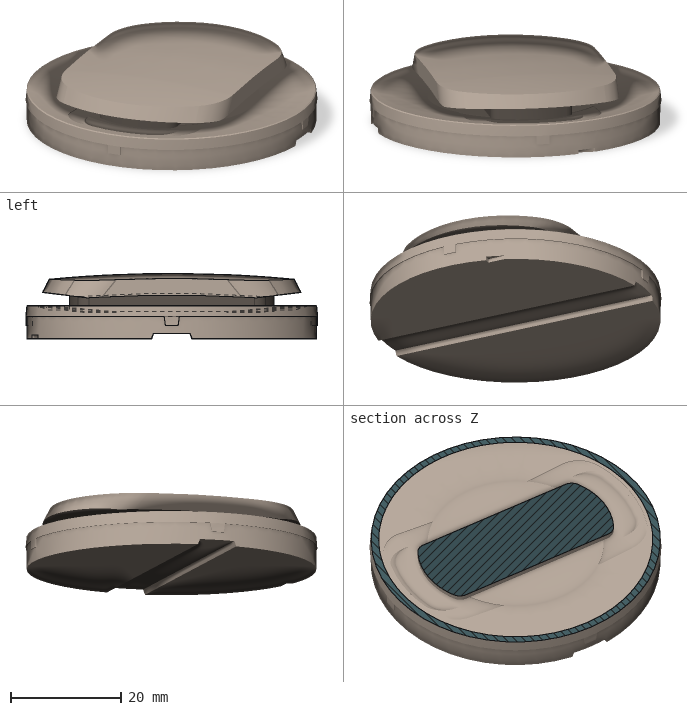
import cadquery as cq
import math

TOTAL_HEIGHT = 11.87
BEZEL_RADIUS = 52.99 / 2

BASE_RADIUS = 26.3
BASE_HEIGHT = 4.0
CHANNEL_HEIGHT = 0.95
CHANNEL_MOUTH_WIDTH = 7.3
CHANNEL_ROOF_WIDTH = 6.6
PRY_NOTCH_X = (-11.0, -6.8)
PRY_NOTCH_Y = 24.3
PRY_NOTCH_HEIGHT = 0.7

CLIP_HEIGHT = 1.6
CLIP_DEPTH = 1.2
END_CLIP_WIDTH = 2.4
SIDE_CLIP_TOP_WIDTH = 2.75
SIDE_CLIP_TIP_WIDTH = 2.3

RIM_Z = 6.08
RIM_BEVEL_HEIGHT = 0.15
RIM_BEVEL_RADIUS = 26.3
RIM_INNER_RADIUS = 26.1
DISH_BREAK_RADIUS = 22.5
DISH_BREAK_Z = 5.68
DISH_FLOOR_RADIUS = 16.0
DISH_FLOOR_Z = 4.91

RECESS_END_RADIUS = 24.2
RECESS_HALF_WIDTH = 12.5
RECESS_CORNER_X = 8.8
RECESS_DROP = 0.12
WELL_HALF_WIDTH = 9.0
WELL_CORNER_X = 5.9
WELL_MOUTH_RADIUS = 23.5
WELL_MOUTH_Z = 5.67
WELL_FLOOR_RADIUS = 22.5
WELL_FLOOR_Z = 5.2

KNOB_HALF_WIDTH = 16.5
KNOB_CORNER_X = 13.0
KNOB_ARC_CENTRE_Y = 1.8
KNOB_LOWER_EDGE_Z = 8.4
KNOB_LOWER_REACH = 23.45
KNOB_UPPER_EDGE_Z = 10.8
KNOB_UPPER_REACH = 22.25
CROWN_RADIUS_LENGTHWISE = 232.0
CROWN_RADIUS_CROSSWISE = 147.0
BELLY_RADIUS_CROSSWISE = 340.0
PLATE_THICKNESS = 3.55
RAMP_START_Y = 15.2
RAMP_START_Z = 7.4

STEM_REACH = 18.56
STEM_ARC_CENTRE_Y = 5.0
STEM_HALF_WIDTH = 7.5
STEM_CORNER_X = 6.3
STEM_TOP_Z = 8.6

CLEARANCE = 30.0
OVERSHOOT = 1.0
SHELL_SWEEP_ANGLE = 20


def rounded_outline(plane, half_width, reach, corner_x, arc_centre_y=0):
    """Straight sides, a large arc across each end, and corner arcs tangent to both.

    The ends reach out to +-reach on Y, and each end arc meets its corner arcs at x = +-corner_x.
    """
    end_radius = reach - arc_centre_y
    rise = math.sqrt(end_radius**2 - corner_x**2)
    end_y = arc_centre_y + rise
    corner_radius = (half_width - corner_x) / (1 - corner_x / end_radius)
    corner_centre_x = half_width - corner_radius
    side_y = end_y - rise * corner_radius / end_radius
    mid_angle = math.atan2(rise, corner_x) / 2
    mid_x = corner_centre_x + corner_radius * math.cos(mid_angle)
    mid_y = side_y + corner_radius * math.sin(mid_angle)
    return (
        plane.moveTo(half_width, -side_y)
        .lineTo(half_width, side_y)
        .threePointArc((mid_x, mid_y), (corner_x, end_y))
        .threePointArc((0, reach), (-corner_x, end_y))
        .threePointArc((-mid_x, mid_y), (-half_width, side_y))
        .lineTo(-half_width, -side_y)
        .threePointArc((-mid_x, -mid_y), (-corner_x, -end_y))
        .threePointArc((0, -reach), (corner_x, -end_y))
        .threePointArc((mid_x, -mid_y), (half_width, -side_y))
        .close()
    )


def clip(top_width, tip_width):
    """One clip on the +X side, with its outer face on the bezel's outer radius."""
    tip_z = BASE_HEIGHT - CLIP_HEIGHT
    wedge = (
        cq.Workplane("YZ")
        .polyline([
            (-top_width / 2, BASE_HEIGHT),
            (top_width / 2, BASE_HEIGHT),
            (tip_width / 2, tip_z),
            (-tip_width / 2, tip_z),
        ])
        .close()
        .extrude(CLEARANCE)
    )
    ring = (
        cq.Workplane("XY")
        .workplane(offset=tip_z)
        .circle(BEZEL_RADIUS)
        .circle(BEZEL_RADIUS - CLIP_DEPTH)
        .extrude(CLIP_HEIGHT)
    )
    return wedge.intersect(ring)


def all_clips():
    side_clip = clip(SIDE_CLIP_TOP_WIDTH, SIDE_CLIP_TIP_WIDTH)
    end_clip = clip(END_CLIP_WIDTH, END_CLIP_WIDTH)
    placed = []
    for quarter in range(4):
        shape = side_clip if quarter % 2 == 0 else end_clip
        placed.append(shape.rotate((0, 0, 0), (0, 0, 1), 90 * quarter))
    return placed


def make_base(clips):
    base = cq.Workplane("XY").circle(BASE_RADIUS).extrude(BASE_HEIGHT)

    channel = (
        cq.Workplane("YZ")
        .polyline([
            (-CHANNEL_MOUTH_WIDTH / 2, 0),
            (CHANNEL_MOUTH_WIDTH / 2, 0),
            (CHANNEL_ROOF_WIDTH / 2, CHANNEL_HEIGHT),
            (-CHANNEL_ROOF_WIDTH / 2, CHANNEL_HEIGHT),
        ])
        .close()
        .extrude(CLEARANCE, both=True)
    )
    base = base.cut(channel)

    notch_start, notch_end = PRY_NOTCH_X
    pry_notch = cq.Workplane("XY").box(
        notch_end - notch_start, CLEARANCE, PRY_NOTCH_HEIGHT, centered=False
    ).translate((notch_start, PRY_NOTCH_Y, 0))
    base = base.cut(pry_notch)

    for one_clip in clips:
        base = base.cut(one_clip)
    return base


def dish_space(drop):
    """Open space above the dish surface, lowered by the given drop."""
    return (
        cq.Workplane("XZ")
        .polyline([
            (0, DISH_FLOOR_Z - drop),
            (DISH_FLOOR_RADIUS, DISH_FLOOR_Z - drop),
            (DISH_BREAK_RADIUS, DISH_BREAK_Z - drop),
            (RIM_INNER_RADIUS, RIM_Z - drop),
            (RIM_INNER_RADIUS, TOTAL_HEIGHT),
            (0, TOTAL_HEIGHT),
        ])
        .close()
        .revolve(360, (0, 0), (0, 1))
    )


def finger_well():
    """Deeper middle step of the finger recess, with sloping end walls."""
    floor = rounded_outline(
        cq.Workplane("XY").workplane(offset=WELL_FLOOR_Z), WELL_HALF_WIDTH, WELL_FLOOR_RADIUS, WELL_CORNER_X
    )
    sloped = rounded_outline(
        floor.workplane(offset=WELL_MOUTH_Z - WELL_FLOOR_Z), WELL_HALF_WIDTH, WELL_MOUTH_RADIUS, WELL_CORNER_X
    ).loft(ruled=True)
    opening = rounded_outline(
        cq.Workplane("XY").workplane(offset=WELL_MOUTH_Z), WELL_HALF_WIDTH, WELL_MOUTH_RADIUS, WELL_CORNER_X
    ).extrude(TOTAL_HEIGHT)
    return sloped.union(opening)


def make_bezel(clips):
    bezel = (
        cq.Workplane("XZ")
        .polyline([
            (0, BASE_HEIGHT),
            (BEZEL_RADIUS, BASE_HEIGHT),
            (RIM_BEVEL_RADIUS, RIM_Z - RIM_BEVEL_HEIGHT),
            (RIM_INNER_RADIUS, RIM_Z),
            (0, RIM_Z),
        ])
        .close()
        .revolve(360, (0, 0), (0, 1))
        .cut(dish_space(0))
    )

    recess = rounded_outline(
        cq.Workplane("XY"), RECESS_HALF_WIDTH, RECESS_END_RADIUS, RECESS_CORNER_X
    ).extrude(TOTAL_HEIGHT)
    flat_floor = cq.Workplane("XY").circle(DISH_FLOOR_RADIUS).extrude(TOTAL_HEIGHT)
    bezel = bezel.cut(recess.intersect(dish_space(RECESS_DROP)).cut(flat_floor))

    bezel = bezel.cut(finger_well())

    for one_clip in clips:
        bezel = bezel.union(one_clip)
    return bezel


def knob_blank():
    """Plate outline with upright sides and round ends that lean inward towards the top."""
    lean = (KNOB_LOWER_REACH - KNOB_UPPER_REACH) / (KNOB_UPPER_EDGE_Z - KNOB_LOWER_EDGE_Z)
    bottom_z = RIM_Z
    top_z = TOTAL_HEIGHT + OVERSHOOT
    bottom_reach = KNOB_LOWER_REACH + lean * (KNOB_LOWER_EDGE_Z - bottom_z)
    top_reach = KNOB_UPPER_REACH - lean * (top_z - KNOB_UPPER_EDGE_Z)
    bottom_plane = cq.Workplane("XY").workplane(offset=bottom_z)
    bottom = rounded_outline(bottom_plane, KNOB_HALF_WIDTH, bottom_reach, KNOB_CORNER_X, KNOB_ARC_CENTRE_Y)
    top_plane = bottom.workplane(offset=top_z - bottom_z)
    return rounded_outline(
        top_plane, KNOB_HALF_WIDTH, top_reach, KNOB_CORNER_X, KNOB_ARC_CENTRE_Y
    ).loft(ruled=True)


def crowned_shell():
    """Band between the crowned top and the curved underside, swept about an axis along X."""
    half = KNOB_HALF_WIDTH + OVERSHOOT
    belly_z = TOTAL_HEIGHT - PLATE_THICKNESS
    crown_edge_z = TOTAL_HEIGHT - CROWN_RADIUS_CROSSWISE + math.sqrt(CROWN_RADIUS_CROSSWISE**2 - half**2)
    belly_edge_z = belly_z - BELLY_RADIUS_CROSSWISE + math.sqrt(BELLY_RADIUS_CROSSWISE**2 - half**2)
    axis_z = TOTAL_HEIGHT - CROWN_RADIUS_LENGTHWISE
    return (
        cq.Workplane("XZ")
        .moveTo(-half, belly_edge_z)
        .threePointArc((0, belly_z), (half, belly_edge_z))
        .lineTo(half, crown_edge_z)
        .threePointArc((0, TOTAL_HEIGHT), (-half, crown_edge_z))
        .close()
        .revolve(SHELL_SWEEP_ANGLE, (0, axis_z), (1, axis_z))
        .rotate((0, 0, axis_z), (1, 0, axis_z), -SHELL_SWEEP_ANGLE / 2)
    )


def underside_ramp():
    """Space below the rising underside at the +Y end."""
    slope = (KNOB_LOWER_EDGE_Z - RAMP_START_Z) / (KNOB_LOWER_REACH - RAMP_START_Y)
    return (
        cq.Workplane("YZ")
        .polyline([
            (RAMP_START_Y, RAMP_START_Z),
            (CLEARANCE, RAMP_START_Z + slope * (CLEARANCE - RAMP_START_Y)),
            (CLEARANCE, 0),
            (RAMP_START_Y, 0),
        ])
        .close()
        .extrude(CLEARANCE, both=True)
    )


def make_knob():
    plate = knob_blank().intersect(crowned_shell())
    ramp = underside_ramp()
    plate = plate.cut(ramp).cut(ramp.mirror("XZ"))
    stem = rounded_outline(
        cq.Workplane("XY").workplane(offset=DISH_FLOOR_Z),
        STEM_HALF_WIDTH,
        STEM_REACH,
        STEM_CORNER_X,
        STEM_ARC_CENTRE_Y,
    ).extrude(STEM_TOP_Z - DISH_FLOOR_Z)
    return plate.union(stem)


clips = all_clips()
knob = make_knob()
base = make_base(clips)
bezel = make_bezel(clips).cut(knob)

bodies = [base.solids().val(), bezel.solids().val(), knob.solids().val()]
result = cq.Compound.makeCompound(bodies)